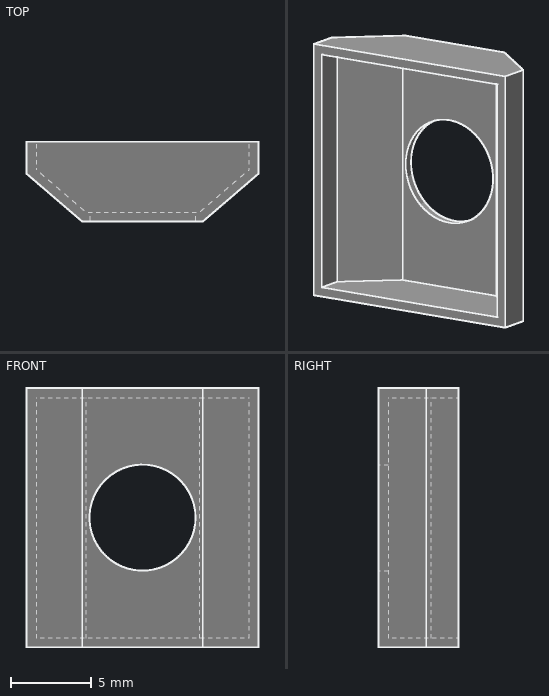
import cadquery as cq

width = 14.5
depth = 5.0
height = 16.2

front_width = 7.52
side_depth = 2.01
wall = 0.6
hole_diameter = 6.61

back_y = depth / 2
front_y = -depth / 2
side_front_y = back_y - side_depth


def make_body():
    """Prism with a narrow front face and two sloping flanks."""
    outline = [
        (-width / 2, back_y),
        (-width / 2, side_front_y),
        (-front_width / 2, front_y),
        (front_width / 2, front_y),
        (width / 2, side_front_y),
        (width / 2, back_y),
    ]
    return cq.Workplane("XY").polyline(outline).close().extrude(height / 2, both=True)


def hollow_from_back(body):
    """Leave an even wall all round, open on the back face."""
    return body.faces(">Y").shell(-wall, kind="intersection")


def cut_front_hole(body):
    """Round hole through the centre of the front wall."""
    cutter = cq.Workplane("XZ").circle(hole_diameter / 2).extrude(depth, both=True)
    return body.cut(cutter)


result = cut_front_hole(hollow_from_back(make_body()))